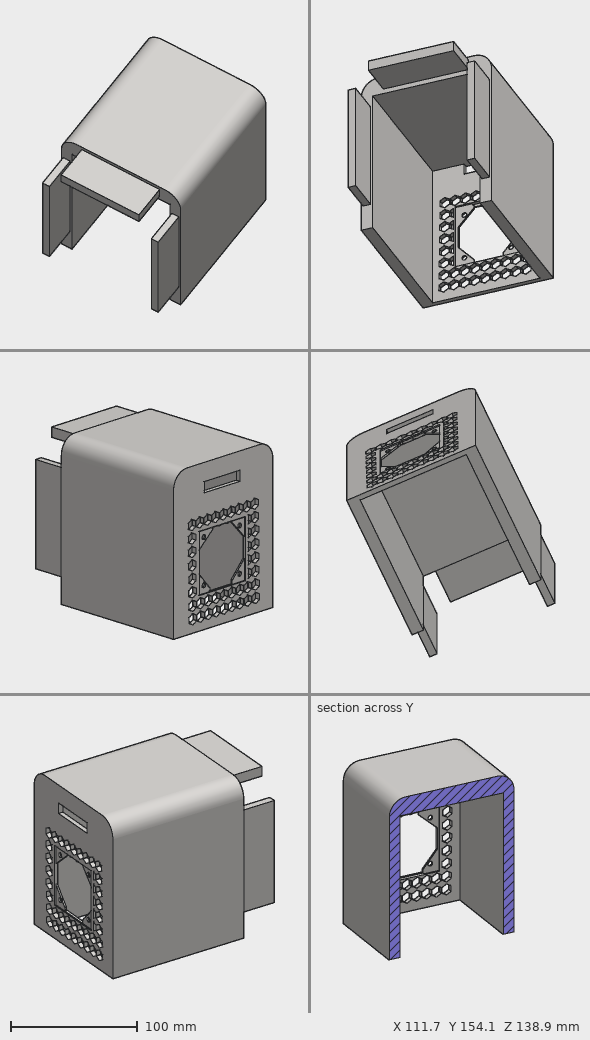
import cadquery as cq
import math

WIDTH = 111.66
HEIGHT = 138.94
TUNNEL_DEPTH = 120.0
PLATE_THICKNESS = 4.13
BODY_DEPTH = TUNNEL_DEPTH + PLATE_THICKNESS
SIDE_WALL = 9.9
ROOF_WALL = 16.0
CORNER_RADIUS = 15.0
CEILING_Z = HEIGHT - ROOF_WALL

TAB_LENGTH = 30.0
ROOF_TAB_WIDTH = 73.0
ROOF_TAB_THICKNESS = 8.7
ROOF_TAB_X = -0.3
ROOF_TAB_GAP = 3.1
SIDE_TAB_THICKNESS = 6.5
SIDE_TAB_HEIGHT = 90.9
SIDE_TAB_GAP = 1.6
SIDE_TAB_BOTTOM_Z = 22.2

SLOT_WIDTH = 40.2
SLOT_HEIGHT = 9.3
SLOT_X = 1.2

FAN_X = 0.55
FAN_Z = 56.4
SCREW_SPACING = 40.0
SCREW_DIAMETER = 4.0
POCKET_LEFT, POCKET_RIGHT = -27.5, 27.5
POCKET_BOTTOM, POCKET_TOP = -27.4, 28.7
WINDOW_LEFT, WINDOW_RIGHT = -25.4, 26.3
WINDOW_BOTTOM, WINDOW_TOP = -26.8, 26.3
POCKET_DEPTH = 1.5
GUSSET_THICKNESS = 1.5
GUSSET_START_Y = TUNNEL_DEPTH + POCKET_DEPTH
GUSSET_END_Y = GUSSET_START_Y + GUSSET_THICKNESS
NECK_LEFT = -11.7
NECK_TOP_RIGHT = 9.6
NECK_BOTTOM_RIGHT = 13.4
NECK_FLARE_TOP = 1.7
NECK_FLARE_BOTTOM = 0.8
NECK_FLARE_TOP_Z = 26.6
NECK_FLARE_BOTTOM_Z = -26.7
GUSSET_TOP_NECK_Z = 24.6
GUSSET_TOP_SIDE_Z = 9.7
GUSSET_BOTTOM_NECK_Z = -23.6
GUSSET_BOTTOM_SIDE_Z = -8.5
WEB_STUB_WIDTH = 1.8
WEB_STUB_HEIGHT = 0.55
WEB_STUB_FIRST_X = -5.3
WEB_STUB_COUNT = 2

VENT_COLUMNS = 9
VENT_ROWS = 8
VENT_PITCH_X = 8.83
VENT_PITCH_Z = 11.22
VENT_CORNER_DIAMETER = 9.5
VENT_X = -0.7
VENT_Z = 51.4
VENT_TILT = -0.75
FAN_ROWS = range(2, 7)
FAN_MARGIN_X = -28.2


def box(x0, x1, y0, y1, z0, z1):
    return cq.Workplane("XY").box(x1 - x0, y1 - y0, z1 - z0, centered=False).translate((x0, y0, z0))


def extrude_along_y(sketch, y_start, depth):
    """Extrude a front-facing sketch toward +Y, starting at y_start."""
    return sketch.extrude(-depth).translate((0, y_start, 0))


def make_shell():
    half = WIDTH / 2
    outer = box(-half, half, 0, BODY_DEPTH, 0, HEIGHT)
    outer = outer.edges("|Y and >Z").fillet(CORNER_RADIUS)
    inner_half = half - SIDE_WALL
    return outer.cut(box(-inner_half, inner_half, 0, TUNNEL_DEPTH, 0, CEILING_Z))


def make_tabs():
    roof_top = HEIGHT - ROOF_TAB_GAP
    roof_left = ROOF_TAB_X - ROOF_TAB_WIDTH / 2
    roof_bottom = roof_top - ROOF_TAB_THICKNESS
    roof_tab = box(roof_left, roof_left + ROOF_TAB_WIDTH, -TAB_LENGTH, 0, roof_bottom, roof_top)
    side_outer = WIDTH / 2 - SIDE_TAB_GAP
    side_top = SIDE_TAB_BOTTOM_Z + SIDE_TAB_HEIGHT
    side_tab = box(side_outer - SIDE_TAB_THICKNESS, side_outer, -TAB_LENGTH, 0, SIDE_TAB_BOTTOM_Z, side_top)
    return [roof_tab, side_tab, side_tab.mirror("YZ")]


def make_slot():
    left = SLOT_X - SLOT_WIDTH / 2
    return box(left, left + SLOT_WIDTH, TUNNEL_DEPTH, BODY_DEPTH, CEILING_Z - SLOT_HEIGHT, CEILING_Z)


def make_gusset_opening():
    """Opening between the four gussets, with flared necks at top and bottom."""
    outline = [
        (NECK_LEFT - NECK_FLARE_TOP, POCKET_TOP),
        (NECK_LEFT, NECK_FLARE_TOP_Z),
        (NECK_LEFT, GUSSET_TOP_NECK_Z),
        (WINDOW_LEFT, GUSSET_TOP_SIDE_Z),
        (WINDOW_LEFT, GUSSET_BOTTOM_SIDE_Z),
        (NECK_LEFT, GUSSET_BOTTOM_NECK_Z),
        (NECK_LEFT, NECK_FLARE_BOTTOM_Z),
        (NECK_LEFT - NECK_FLARE_BOTTOM, POCKET_BOTTOM),
        (NECK_BOTTOM_RIGHT + NECK_FLARE_BOTTOM, POCKET_BOTTOM),
        (NECK_BOTTOM_RIGHT, NECK_FLARE_BOTTOM_Z),
        (NECK_BOTTOM_RIGHT, GUSSET_BOTTOM_NECK_Z),
        (WINDOW_RIGHT, GUSSET_BOTTOM_SIDE_Z),
        (WINDOW_RIGHT, GUSSET_TOP_SIDE_Z),
        (NECK_TOP_RIGHT, GUSSET_TOP_NECK_Z),
        (NECK_TOP_RIGHT, NECK_FLARE_TOP_Z),
        (NECK_TOP_RIGHT + NECK_FLARE_BOTTOM, POCKET_TOP),
    ]
    sketch = cq.Workplane("XZ").polyline(outline).close()
    return extrude_along_y(sketch, GUSSET_START_Y, GUSSET_THICKNESS)


def make_fan_cutters():
    pocket = box(POCKET_LEFT, POCKET_RIGHT, TUNNEL_DEPTH, GUSSET_START_Y, POCKET_BOTTOM, POCKET_TOP)
    window = box(WINDOW_LEFT, WINDOW_RIGHT, GUSSET_END_Y, BODY_DEPTH, WINDOW_BOTTOM, WINDOW_TOP)
    screws = cq.Workplane("XZ").rect(SCREW_SPACING, SCREW_SPACING, forConstruction=True)
    screws = extrude_along_y(screws.vertices().circle(SCREW_DIAMETER / 2), TUNNEL_DEPTH, PLATE_THICKNESS)
    cutters = [pocket, make_gusset_opening(), window, screws]
    return [cutter.translate((FAN_X, 0, FAN_Z)) for cutter in cutters]


def make_web_stubs():
    """Remains of the webs between vent columns, at the top edge of the fan window."""
    bottom = FAN_Z + WINDOW_TOP - WEB_STUB_HEIGHT
    stubs = []
    for index in range(WEB_STUB_COUNT):
        left = FAN_X + WEB_STUB_FIRST_X + index * VENT_PITCH_X - WEB_STUB_WIDTH / 2
        right = left + WEB_STUB_WIDTH
        stubs.append(box(left, right, GUSSET_END_Y, BODY_DEPTH, bottom, FAN_Z + WINDOW_TOP))
    return stubs


def make_vent(column, row):
    tilt = math.radians(VENT_TILT)
    across = (column - (VENT_COLUMNS - 1) / 2) * VENT_PITCH_X
    up = (row - (VENT_ROWS - 1) / 2) * VENT_PITCH_Z
    x = VENT_X + across * math.cos(tilt) - up * math.sin(tilt)
    z = VENT_Z + across * math.sin(tilt) + up * math.cos(tilt)
    sketch = cq.Workplane("XZ").transformed(rotate=(0, 0, 90 + VENT_TILT))
    sketch = sketch.polygon(6, VENT_CORNER_DIAMETER)
    return extrude_along_y(sketch, TUNNEL_DEPTH, PLATE_THICKNESS).translate((x, 0, z))


def make_vents():
    fan_block = box(FAN_MARGIN_X, WIDTH / 2, TUNNEL_DEPTH, BODY_DEPTH, 0, CEILING_Z)
    last_column = VENT_COLUMNS - 1
    vents = []
    for row in range(VENT_ROWS):
        beside_fan = row in FAN_ROWS
        columns = (0, 1, last_column) if beside_fan else range(VENT_COLUMNS)
        for column in columns:
            vent = make_vent(column, row)
            if beside_fan and column == 1:
                vent = vent.cut(fan_block)
            vents.append(vent)
    return vents


result = make_shell()
for tab in make_tabs():
    result = result.union(tab)
result = result.cut(make_slot())
for cutter in make_fan_cutters() + make_vents():
    result = result.cut(cutter)
for stub in make_web_stubs():
    result = result.union(stub)